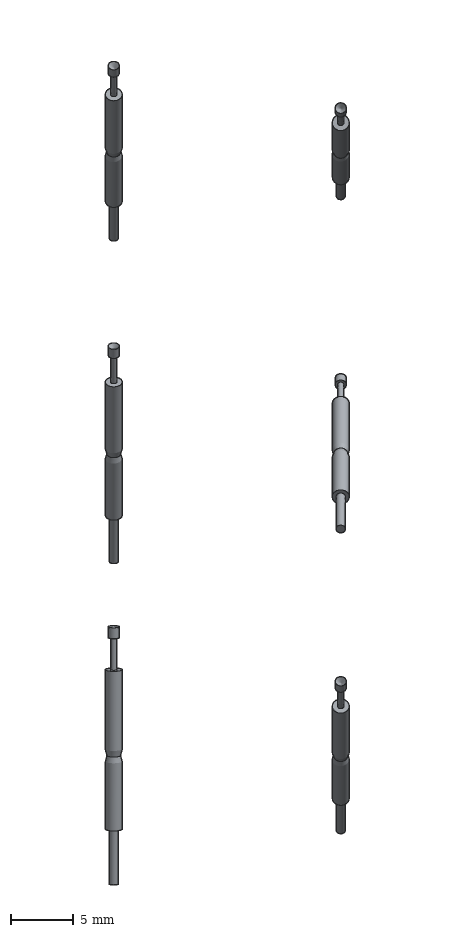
import cadquery as cq

total_length = 21.05
tail_length = 4.48
barrel_length = 13.05
head_length = 0.9
barrel_top = tail_length + barrel_length
head_bottom = total_length - head_length

barrel_diameter = 1.37
tail_diameter = 0.75
shaft_diameter = 0.5
head_diameter = 0.9

groove_height = 6.02
groove_width = 1.0
groove_waist_diameter = 1.12
groove_center = tail_length + groove_height

cup_depth = head_diameter / 2


def cylinder(diameter, length, bottom):
    """Upright cylinder on the Z axis."""
    return cq.Workplane("XY").workplane(offset=bottom).circle(diameter / 2).extrude(length)


def make_barrel():
    """Grooved barrel with its slimmer solid tail."""
    tail_radius = tail_diameter / 2
    barrel_radius = barrel_diameter / 2
    profile = (
        cq.Workplane("XZ")
        .moveTo(0, 0)
        .lineTo(tail_radius, 0)
        .lineTo(tail_radius, tail_length)
        .lineTo(barrel_radius, tail_length)
        .lineTo(barrel_radius, groove_center - groove_width / 2)
        .lineTo(groove_waist_diameter / 2, groove_center)
        .lineTo(barrel_radius, groove_center + groove_width / 2)
        .lineTo(barrel_radius, barrel_top)
        .lineTo(0, barrel_top)
        .close()
    )
    return profile.revolve(360, (0, 0, 0), (0, 1, 0))


def make_cup():
    """Cone that hollows the head, point downward."""
    profile = (
        cq.Workplane("XZ")
        .moveTo(0, total_length - cup_depth)
        .lineTo(head_diameter / 2, total_length)
        .lineTo(0, total_length)
        .close()
    )
    return profile.revolve(360, (0, 0, 0), (0, 1, 0))


def make_plunger():
    """Shaft standing on the barrel's top face, with a cupped head."""
    shaft = cylinder(shaft_diameter, head_bottom - barrel_top, barrel_top)
    head = cylinder(head_diameter, head_length, head_bottom)
    return shaft.union(head).cut(make_cup())


barrel = make_barrel()
plunger = make_plunger()

result = cq.Compound.makeCompound([barrel.val(), plunger.val()])